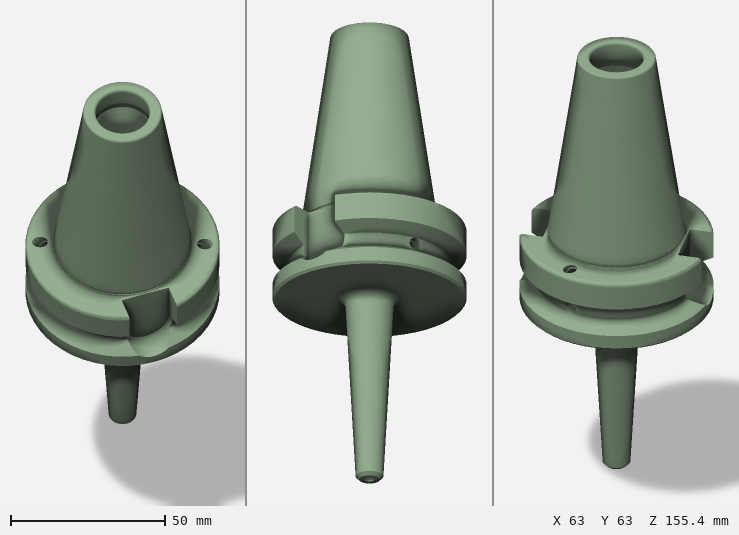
import cadquery as cq
import math

TOTAL_LENGTH = 155.4
FLANGE_BOTTOM_Z = 63.0
FLANGE_TOP_Z = 88.1
GAUGE_Z = 90.0

GAUGE_RADIUS = 22.2
TAPER_RATIO = 7 / 24
SHANK_TOP_RADIUS = GAUGE_RADIUS - (TOTAL_LENGTH - GAUGE_Z) * TAPER_RATIO / 2
SHANK_TOP_FILLET = 0.8
NECK_FILLET = 0.6
NECK_RELIEF_DEPTH = 0.3
NECK_RELIEF_HEIGHT = 0.6

FLANGE_DIAMETER = 63.0
FLANGE_RADIUS = FLANGE_DIAMETER / 2
FLANGE_TOP_FILLET = 1.2
FLANGE_BOTTOM_CHAMFER = 0.8
GROOVE_Z = 73.5
GROOVE_FLOOR_RADIUS = 26.4
GROOVE_FLOOR_HALF_HEIGHT = 2.2
GROOVE_FLOOR_FILLET = 0.6
GROOVE_SIDE_ANGLE = 30.0
GROOVE_SIDE_HEIGHT = (FLANGE_RADIUS - GROOVE_FLOOR_RADIUS) * math.tan(math.radians(GROOVE_SIDE_ANGLE))
GROOVE_HALF_HEIGHT = GROOVE_FLOOR_HALF_HEIGHT + GROOVE_SIDE_HEIGHT

NOSE_ROOT_RADIUS = 7.8
NOSE_ROOT_FILLET = 2.8
NOSE_TIP_RADIUS = 4.5
NOSE_TIP_CHAMFER = 1.1

SLOT_WIDTH = 16.2
SLOT_FLOOR_X = 22.5
SLOT_BOTTOM_Z = 66.7

BORE_RADIUS = 8.7
BORE_MOUTH_FILLET = 1.0
BORE_DEPTH = 9.2
BORE_RELIEF_DEPTH = 0.8
BORE_RELIEF_HEIGHT = 2.8
BORE_STEP_RADIUS = 7.0
BORE_STEP_DEPTH = 10.4
BORE_POINT_ANGLE = 118.0
THROUGH_RADIUS = 1.5

CUTTER_OVERRUN = 3.1

COOLANT_ANGLES = (70.0, 250.0)
COOLANT_MOUTH_RADIUS = 2.2
COOLANT_MOUTH_DEPTH = 2.3
COOLANT_RADIUS = 1.5
COOLANT_ENTRY_RADIUS = 26.7
COOLANT_TILT = 32.0


def make_body():
    """Revolved outside of the nose, flange and shank."""
    relief_radius = GAUGE_RADIUS - NECK_RELIEF_DEPTH
    relief_bottom_z = FLANGE_TOP_Z + NECK_FILLET
    relief_top_z = relief_bottom_z + NECK_RELIEF_HEIGHT
    profile = (
        cq.Workplane("XZ")
        .moveTo(0, 0)
        .lineTo(NOSE_TIP_RADIUS - NOSE_TIP_CHAMFER, 0)
        .lineTo(NOSE_TIP_RADIUS, NOSE_TIP_CHAMFER)
        .lineTo(NOSE_ROOT_RADIUS, FLANGE_BOTTOM_Z - NOSE_ROOT_FILLET)
        .radiusArc((NOSE_ROOT_RADIUS + NOSE_ROOT_FILLET, FLANGE_BOTTOM_Z), NOSE_ROOT_FILLET)
        .lineTo(FLANGE_RADIUS - FLANGE_BOTTOM_CHAMFER, FLANGE_BOTTOM_Z)
        .lineTo(FLANGE_RADIUS, FLANGE_BOTTOM_Z + FLANGE_BOTTOM_CHAMFER)
        .lineTo(FLANGE_RADIUS, GROOVE_Z - GROOVE_HALF_HEIGHT)
        .lineTo(GROOVE_FLOOR_RADIUS, GROOVE_Z - GROOVE_FLOOR_HALF_HEIGHT)
        .lineTo(GROOVE_FLOOR_RADIUS, GROOVE_Z + GROOVE_FLOOR_HALF_HEIGHT)
        .lineTo(FLANGE_RADIUS, GROOVE_Z + GROOVE_HALF_HEIGHT)
        .lineTo(FLANGE_RADIUS, FLANGE_TOP_Z - FLANGE_TOP_FILLET)
        .radiusArc((FLANGE_RADIUS - FLANGE_TOP_FILLET, FLANGE_TOP_Z), -FLANGE_TOP_FILLET)
        .lineTo(GAUGE_RADIUS + NECK_FILLET, FLANGE_TOP_Z)
        .radiusArc((GAUGE_RADIUS, relief_bottom_z), NECK_FILLET)
        .lineTo(relief_radius, relief_bottom_z)
        .lineTo(relief_radius, relief_top_z)
        .lineTo(GAUGE_RADIUS, relief_top_z)
        .lineTo(GAUGE_RADIUS, GAUGE_Z)
        .lineTo(SHANK_TOP_RADIUS, TOTAL_LENGTH)
        .lineTo(0, TOTAL_LENGTH)
        .close()
    )
    body = profile.revolve(360, (0, 0, 0), (0, 1, 0))
    body = body.faces(">Z").edges().fillet(SHANK_TOP_FILLET)
    lower_corner = cq.selectors.NearestToPointSelector((0, 0, GROOVE_Z - GROOVE_FLOOR_HALF_HEIGHT))
    return body.edges(lower_corner).fillet(GROOVE_FLOOR_FILLET)


def make_bore():
    """Revolved hollow of the stepped bore and the hole through the nose."""
    relief_radius = BORE_RADIUS + BORE_RELIEF_DEPTH
    relief_bottom_z = TOTAL_LENGTH - BORE_DEPTH
    relief_top_z = relief_bottom_z + BORE_RELIEF_HEIGHT
    step_z = TOTAL_LENGTH - BORE_STEP_DEPTH
    point_depth = (BORE_STEP_RADIUS - THROUGH_RADIUS) / math.tan(math.radians(BORE_POINT_ANGLE / 2))
    profile = (
        cq.Workplane("XZ")
        .moveTo(0, TOTAL_LENGTH)
        .lineTo(BORE_RADIUS + BORE_MOUTH_FILLET, TOTAL_LENGTH)
        .radiusArc((BORE_RADIUS, TOTAL_LENGTH - BORE_MOUTH_FILLET), -BORE_MOUTH_FILLET)
        .lineTo(BORE_RADIUS, relief_top_z)
        .lineTo(relief_radius, relief_top_z)
        .lineTo(relief_radius, relief_bottom_z)
        .lineTo(BORE_RADIUS, relief_bottom_z)
        .lineTo(BORE_STEP_RADIUS, step_z)
        .lineTo(THROUGH_RADIUS, step_z - point_depth)
        .lineTo(THROUGH_RADIUS, 0)
        .lineTo(0, 0)
        .close()
    )
    return profile.revolve(360, (0, 0, 0), (0, 1, 0))


def make_slot(side):
    """Round-bottomed slot, open at the flange top, on the side given by +1 or -1."""
    half_width = SLOT_WIDTH / 2
    round_z = SLOT_BOTTOM_Z + half_width
    depth = FLANGE_RADIUS + CUTTER_OVERRUN - SLOT_FLOOR_X
    return (
        cq.Workplane("YZ", origin=(side * SLOT_FLOOR_X, 0, 0))
        .moveTo(-half_width, FLANGE_TOP_Z + CUTTER_OVERRUN)
        .lineTo(-half_width, round_z)
        .threePointArc((0, SLOT_BOTTOM_Z), (half_width, round_z))
        .lineTo(half_width, FLANGE_TOP_Z + CUTTER_OVERRUN)
        .close()
        .extrude(side * depth)
    )


def stepped_hole(mouth, inward, length):
    """Hole running from its mouth along a unit vector, wide at the mouth and narrower behind it."""
    start = mouth - inward * CUTTER_OVERRUN
    wide = cq.Solid.makeCylinder(COOLANT_MOUTH_RADIUS, CUTTER_OVERRUN + COOLANT_MOUTH_DEPTH, start, inward)
    narrow = cq.Solid.makeCylinder(COOLANT_RADIUS, length, mouth, inward)
    return cq.Workplane(wide.fuse(narrow))


def make_coolant_channel(angle):
    """Sloping channel and radial hole in the half-plane at the given angle about Z."""
    tilt = math.radians(COOLANT_TILT)
    drop = FLANGE_TOP_Z - GROOVE_Z
    meeting_radius = COOLANT_ENTRY_RADIUS - drop * math.tan(tilt)
    channel = stepped_hole(
        cq.Vector(COOLANT_ENTRY_RADIUS, 0, FLANGE_TOP_Z),
        cq.Vector(-math.sin(tilt), 0, -math.cos(tilt)),
        drop / math.cos(tilt),
    )
    groove_hole = stepped_hole(
        cq.Vector(GROOVE_FLOOR_RADIUS, 0, GROOVE_Z),
        cq.Vector(-1, 0, 0),
        GROOVE_FLOOR_RADIUS - meeting_radius,
    )
    return channel.union(groove_hole).rotate((0, 0, 0), (0, 0, 1), angle)


result = make_body().cut(make_bore())
for side in (-1, 1):
    result = result.cut(make_slot(side))
for angle in COOLANT_ANGLES:
    result = result.cut(make_coolant_channel(angle))